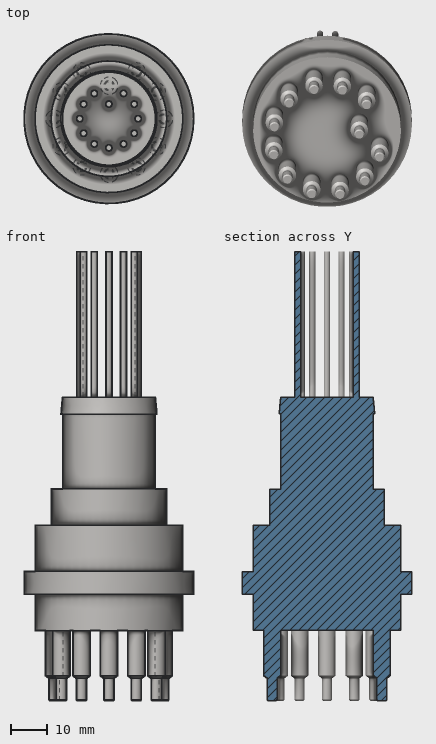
import cadquery as cq
import math

flange_diameter = 46.5
body_diameter = 40.5
collar_diameter = 31.6
neck_diameter = 25.5
barb_diameter = 26.3

body_bottom = 19.2
flange_bottom = 29.2
flange_top = 35.4
body_top = 48.1
collar_top = 58.0
barb_bottom = 78.5
neck_top = 83.1

total_height = 123.0
pin_diameter = 4.8
pin_cone_bottom = 6.2
pin_cone_top = 6.9
tip_diameter = 2.8
tip_chamfer = 0.31
pin_circle_radius = 15.0
key_pin_y = 9.1

wire_diameter = 1.7
wire_circle_radius = 8.0
key_wire_y = wire_circle_radius / 2

position_count = 12
overlap = 1.2


def contact_positions(circle_radius, key_y):
    """Evenly spaced places on a circle; the one at +Y is moved inward to key_y."""
    positions = [(0, key_y)]
    for index in range(1, position_count):
        angle = math.radians(90 + index * 360 / position_count)
        positions.append((circle_radius * math.cos(angle), circle_radius * math.sin(angle)))
    return positions


def revolve_profile(outline):
    """Solid of revolution about Z; each (diameter, height) pair is a corner of the half outline."""
    half_outline = [(diameter / 2, height) for diameter, height in outline]
    return cq.Workplane("XZ").polyline(half_outline).close().revolve(360, (0, 0, 0), (0, 1, 0))


def make_body():
    return revolve_profile([
        (0, body_bottom),
        (body_diameter, body_bottom),
        (body_diameter, flange_bottom),
        (flange_diameter, flange_bottom),
        (flange_diameter, flange_top),
        (body_diameter, flange_top),
        (body_diameter, body_top),
        (collar_diameter, body_top),
        (collar_diameter, collar_top),
        (neck_diameter, collar_top),
        (neck_diameter, barb_bottom),
        (barb_diameter, barb_bottom),
        (neck_diameter, neck_top),
        (0, neck_top),
    ])


def make_pin():
    pin_top = body_bottom + overlap
    return revolve_profile([
        (0, 0),
        (tip_diameter - 2 * tip_chamfer, 0),
        (tip_diameter, tip_chamfer),
        (tip_diameter, pin_cone_bottom),
        (pin_diameter, pin_cone_top),
        (pin_diameter, pin_top),
        (0, pin_top),
    ])


def make_wire():
    wire_bottom = neck_top - overlap
    wire = cq.Workplane("XY").workplane(offset=wire_bottom).circle(wire_diameter / 2)
    return wire.extrude(total_height - wire_bottom)


result = make_body()
pin = make_pin()
for x, y in contact_positions(pin_circle_radius, key_pin_y):
    result = result.union(pin.translate((x, y, 0)))
wire = make_wire()
for x, y in contact_positions(wire_circle_radius, key_wire_y):
    result = result.union(wire.translate((x, y, 0)))